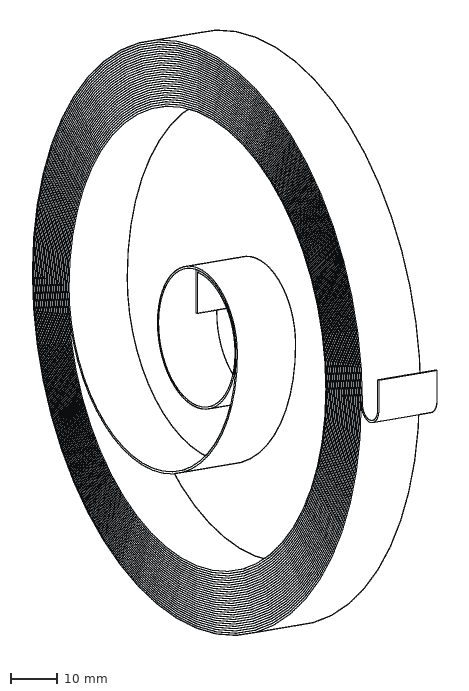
import cadquery as cq
import math


strip_width = 15.0
strip_thickness = 0.48
turn_clearance = 0.022

outer_length = 136.5
outer_height = 129.8

ring_turns = 29
hub_start_radius = 15.0
tab_length = 9.7
hook_leg_length = 6.7

pitch = strip_thickness + turn_clearance
half_pitch = pitch / 2
half_thickness = strip_thickness / 2

ring_half_turns = 2 * ring_turns - 1
ring_end_radius = (outer_height - strip_thickness + half_pitch) / 2
ring_start_radius = ring_end_radius - half_pitch * (ring_half_turns - 1)
hook_radius = (outer_length - strip_thickness) / 2 - ring_end_radius


def strip_arcs():
    """Centreline arcs from tab to hook: (centre x, radius, start angle, end angle).

    All centres lie on Z = 0, so consecutive half turns meet tangentially there.
    """
    hub_lower_radius = hub_start_radius + half_pitch
    hub_upper_radius = hub_start_radius + pitch
    arcs = [
        (0, hub_start_radius, 90, 0),
        (-half_pitch, hub_lower_radius, 0, -180),
        (0, hub_upper_radius, 180, 0),
    ]

    lead_radius = (hub_upper_radius + ring_start_radius) / 2
    arcs.append((hub_upper_radius - lead_radius, lead_radius, 0, -180))

    for index in range(ring_half_turns):
        radius = ring_start_radius + index * half_pitch
        if index % 2 == 0:
            arcs.append((0, radius, 180, 0))
        else:
            arcs.append((-half_pitch, radius, 0, -180))

    arcs.append((ring_end_radius + hook_radius, hook_radius, 180, 360))
    return arcs


def point_on_arc(centre_x, radius, angle):
    turn = math.radians(angle)
    return (centre_x + radius * math.cos(turn), radius * math.sin(turn))


def face_arc(arc, side):
    """Start, middle and end point of an arc on one face: side +1 is left of travel, -1 right."""
    centre_x, radius, start, end = arc
    clockwise = 1 if end < start else -1
    face_radius = radius + clockwise * side * half_thickness
    angles = (start, (start + end) / 2, end)
    return [point_on_arc(centre_x, face_radius, angle) for angle in angles]


def strip_outline():
    arcs = strip_arcs()
    hub_top = hub_start_radius + half_thickness
    tab_bottom = hub_top - tab_length

    outline = (
        cq.Workplane("XZ")
        .moveTo(0, tab_bottom)
        .lineTo(-strip_thickness, tab_bottom)
        .lineTo(-strip_thickness, hub_top)
        .lineTo(0, hub_top)
    )

    for arc in arcs:
        _, middle, end = face_arc(arc, 1)
        outline = outline.threePointArc(middle, end)

    outline = (
        outline.line(0, hook_leg_length)
        .line(strip_thickness, 0)
        .line(0, -hook_leg_length)
    )

    for arc in reversed(arcs):
        start, middle, _ = face_arc(arc, -1)
        outline = outline.threePointArc(middle, start)
    return outline.close()


result = strip_outline().extrude(strip_width / 2, both=True)